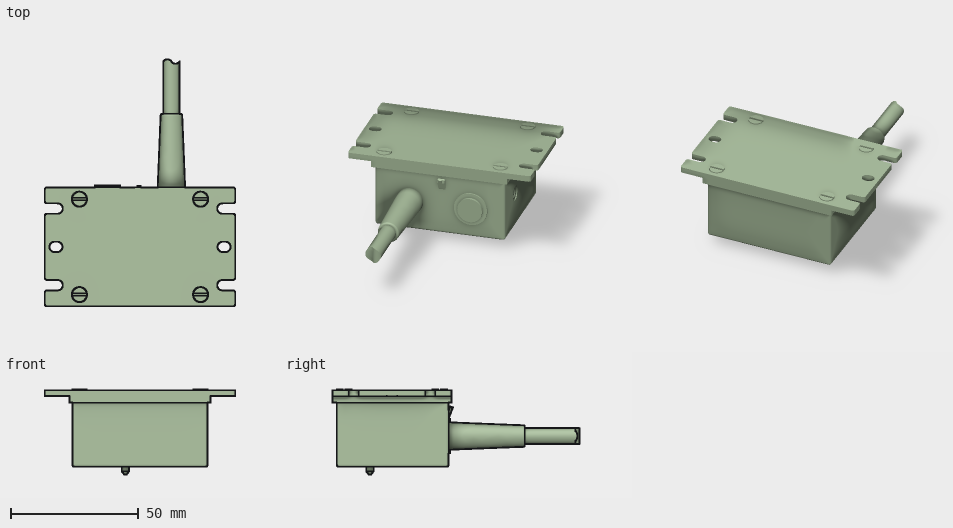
import cadquery as cq
import math


plate_length = 74.5
plate_width = 46.5
plate_thickness = 2.4
plate_corner_radius = 1.0
flange_length = 55.2
flange_bottom = -4.9

slot_width = 4.0
slot_row_y = 15.0
open_slot_depth = 7.05
middle_slot_length = 5.0
middle_slot_x = 32.8

box_length = 52.8
box_width = 43.7
box_bottom = -30.0
box_offset_y = 0.3
box_edge_radius = 1.0
box_back = box_offset_y + box_width / 2

screw_x = 23.7
screw_y = 18.6
screw_hole_diameter = 6.0
screw_head_diameter = 5.8
screw_hole_depth = 1.45
screw_head_rise = 0.4
screw_slot_width = 1.0
screw_slot_depth = 1.0

pin_x = -5.7
pin_y = -8.6
pin_diameter = 3.0
pin_tip_diameter = 1.0
pin_shoulder = -31.7
pin_tip = -33.0

cable_x = 12.3
cable_z = -18.0
cable_diameter = 6.4
overall_width = 96.6
cable_end = overall_width - plate_width / 2
cable_break_wave = 0.9
boot_end = 52.0
boot_base_diameter = 10.9
boot_tip_diameter = 8.5
boot_tip_radius = 0.8

plug_x = -12.65
plug_diameter = 10.0
plug_height = 1.8
washer_diameter = 13.5
washer_thickness = 0.7

tab_x = -0.4
tab_width = 1.5
tab_root_width = 2.9
tab_root_center_x = -0.9
tab_root_reach = 23.4
tab_thickness = 1.2
tab_bottom = -11.1
tab_top = -6.4
tab_reach = 23.9

recess_y = 7.7
recess_z = -16.1
recess_steps = ((6.0, 0.5), (3.8, 1.0), (1.5, 1.9))


def cylinder_along_y(diameter, y_start, y_end, x, z):
    """Cylinder with its axis along +Y."""
    return cq.Workplane(
        cq.Solid.makeCylinder(
            diameter / 2, y_end - y_start, cq.Vector(x, y_start, z), cq.Vector(0, 1, 0)
        )
    )


def make_plate():
    """Plate with four open slots in its ends and two closed slots between them."""
    plate = cq.Workplane("XY").box(
        plate_length, plate_width, plate_thickness, centered=(True, True, False)
    )
    end_x = plate_length / 2
    open_slots = [(side * end_x, row * slot_row_y) for side in (-1, 1) for row in (-1, 1)]
    plate = plate.cut(
        cq.Workplane("XY")
        .pushPoints(open_slots)
        .slot2D(2 * open_slot_depth, slot_width)
        .extrude(plate_thickness)
    )
    plate = plate.edges("|Z and (<X or >X)").fillet(plate_corner_radius)
    middle_slots = (
        cq.Workplane("XY")
        .pushPoints([(-middle_slot_x, 0), (middle_slot_x, 0)])
        .slot2D(middle_slot_length, slot_width)
        .extrude(plate_thickness)
    )
    return plate.cut(middle_slots).translate((0, 0, -plate_thickness))


def make_flange():
    """Cover flange directly below the plate."""
    return (
        cq.Workplane("XY")
        .workplane(offset=-plate_thickness)
        .rect(flange_length, plate_width)
        .extrude(flange_bottom + plate_thickness)
    )


def make_box():
    """Housing with rounded upright and bottom edges and a stepped recess in one end."""
    box = (
        cq.Workplane("XY")
        .workplane(offset=flange_bottom)
        .center(0, box_offset_y)
        .rect(box_length, box_width)
        .extrude(box_bottom - flange_bottom)
        .edges("|Z or <Z")
        .fillet(box_edge_radius)
    )
    wall_point = cq.Vector(-box_length / 2, recess_y, recess_z)
    for diameter, depth in recess_steps:
        box = box.cut(
            cq.Workplane(
                cq.Solid.makeCylinder(diameter / 2, depth, wall_point, cq.Vector(1, 0, 0))
            )
        )
    return box


def add_screws(body):
    """Slotted screw heads, each standing in a slightly larger round hole."""
    places = [(sx * screw_x, sy * screw_y) for sx in (-1, 1) for sy in (-1, 1)]
    floor = cq.Workplane("XY").workplane(offset=-screw_hole_depth).pushPoints(places)
    holes = floor.circle(screw_hole_diameter / 2).extrude(screw_hole_depth)
    heads = floor.circle(screw_head_diameter / 2).extrude(screw_hole_depth + screw_head_rise)
    driver_slots = (
        cq.Workplane("XY")
        .workplane(offset=screw_head_rise - screw_slot_depth)
        .pushPoints(places)
        .rect(screw_hole_diameter, screw_slot_width)
        .extrude(screw_slot_depth)
    )
    return body.cut(holes).union(heads.cut(driver_slots))


def make_pin():
    """Round pin with a conical tip."""
    radius = pin_diameter / 2
    return (
        cq.Workplane("XZ")
        .moveTo(0, flange_bottom)
        .lineTo(radius, flange_bottom)
        .lineTo(radius, pin_shoulder)
        .lineTo(pin_tip_diameter / 2, pin_tip)
        .lineTo(0, pin_tip)
        .close()
        .revolve(360, (0, 0, 0), (0, 1, 0))
        .translate((pin_x, pin_y, 0))
    )


def make_boot():
    """Tapered boot with a rounded tip."""
    return (
        cq.Workplane("XY")
        .moveTo(0, box_back - box_edge_radius)
        .lineTo(boot_base_diameter / 2, box_back - box_edge_radius)
        .lineTo(boot_base_diameter / 2, box_back)
        .lineTo(boot_tip_diameter / 2, boot_end)
        .lineTo(0, boot_end)
        .close()
        .revolve(360, (0, 0, 0), (0, 1, 0))
        .edges(">Y")
        .fillet(boot_tip_radius)
        .translate((cable_x, 0, cable_z))
    )


def make_cable():
    """Cable whose end is cut off along a wave: a crest at -X and a trough at +X."""
    radius = cable_diameter / 2
    middle_y = cable_end - cable_break_wave
    wave_outline = (
        cq.Workplane("XY")
        .moveTo(-radius, box_back)
        .lineTo(-radius, middle_y)
        .threePointArc((-radius / 2, cable_end), (0, middle_y))
        .threePointArc((radius / 2, middle_y - cable_break_wave), (radius, middle_y))
        .lineTo(radius, box_back)
        .close()
        .extrude(radius, both=True)
        .translate((cable_x, 0, cable_z))
    )
    return cylinder_along_y(cable_diameter, box_back, cable_end, cable_x, cable_z).intersect(
        wave_outline
    )


def make_plug():
    """Plug standing on a thin washer against the back wall."""
    washer = cylinder_along_y(
        washer_diameter, box_back - box_edge_radius, box_back + washer_thickness, plug_x, cable_z
    )
    plug = cylinder_along_y(plug_diameter, box_back, box_back + plug_height, plug_x, cable_z)
    return washer.union(plug)


def make_tab():
    """Tab leaning out of the back wall, wide at its root and narrow at its top."""
    lean = math.atan2(tab_reach - box_back, tab_top - tab_bottom)
    foot_rise = tab_thickness * math.sin(lean)
    foot_depth = tab_thickness * math.cos(lean)
    outline = [
        (box_back, tab_bottom),
        (tab_reach, tab_top - foot_rise),
        (tab_reach - foot_depth, tab_top),
        (box_back - foot_depth, tab_bottom + foot_rise),
    ]

    def leaning_bar(width, center_x):
        """Bar of the tab's leaning outline, centred at center_x."""
        bar = cq.Workplane("YZ").polyline(outline).close().extrude(width / 2, both=True)
        return bar.translate((center_x, 0, 0))

    tab = leaning_bar(tab_width, tab_x)
    root = leaning_bar(tab_root_width, tab_root_center_x)
    root_limit = cq.Workplane("XY").box(plate_length, 2 * tab_root_reach, -2 * box_bottom)
    return tab.union(root.intersect(root_limit))


result = make_plate().union(make_flange()).union(make_box())
result = add_screws(result)
for feature in (make_pin(), make_boot(), make_cable(), make_plug(), make_tab()):
    result = result.union(feature)